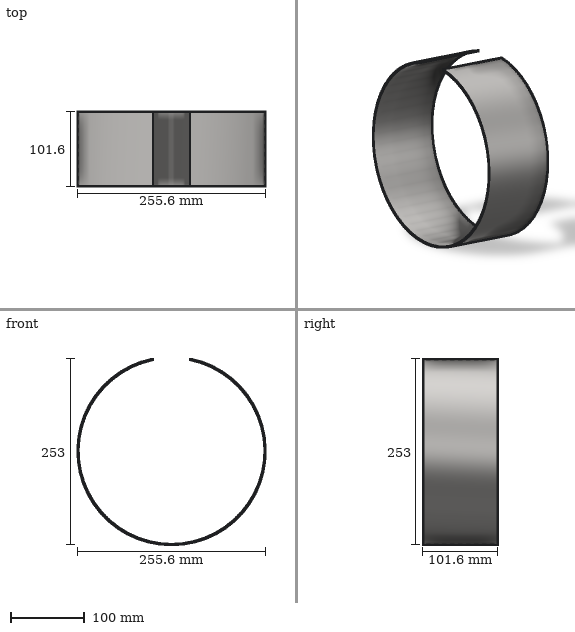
import cadquery as cq

outer_diameter = 255.5875
wall_thickness = 1.5875
band_width = 101.6
gap_width = 50.8

outer_radius = outer_diameter / 2
inner_radius = outer_radius - wall_thickness


def make_ring():
    """Closed thin-walled ring, axis along Y, centred on the origin."""
    return (
        cq.Workplane("XZ")
        .circle(outer_radius)
        .circle(inner_radius)
        .extrude(band_width / 2, both=True)
    )


def make_gap_cutter():
    """Block with parallel vertical sides that opens the top (+Z) of the ring."""
    return cq.Workplane("XY").box(
        gap_width, 2 * band_width, outer_diameter, centered=(True, True, False)
    )


result = make_ring().cut(make_gap_cutter())